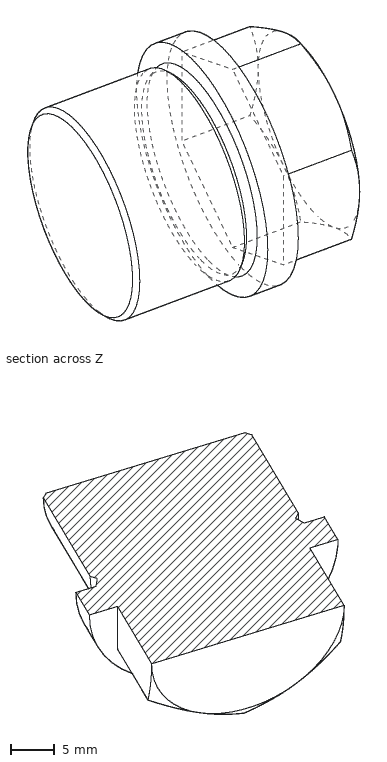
import cadquery as cq
import math

shank_diameter = 26.0
shank_length = 16.0
flange_diameter = 31.0
flange_thickness = 4.0
hex_sides = 6
hex_across_flats = 24.0
hex_height = 10.0
hex_chamfer_angle = 30.0
shank_chamfer = 0.61
neck_angle = 30.0

shank_radius = shank_diameter / 2
flange_radius = flange_diameter / 2
neck_radius = shank_radius - shank_chamfer
neck_length = shank_chamfer / math.tan(math.radians(neck_angle))
hex_top = flange_thickness + hex_height
hex_flat_radius = hex_across_flats / 2
hex_across_corners = hex_across_flats / math.cos(math.pi / hex_sides)


def revolve_about_y(points):
    """Revolve a closed (radius, y) outline a full turn about the Y axis."""
    return cq.Workplane("XY").polyline(points).close().revolve(360, (0, 0, 0), (0, 1, 0))


def make_shank_and_flange():
    """Round shank with chamfered ends, V-shaped relief groove and flange."""
    return revolve_about_y([
        (0, -shank_length),
        (neck_radius, -shank_length),
        (shank_radius, -shank_length + shank_chamfer),
        (shank_radius, -neck_length - shank_chamfer),
        (neck_radius, -neck_length),
        (shank_radius, 0),
        (flange_radius, 0),
        (flange_radius, flange_thickness),
        (0, flange_thickness),
    ])


def make_hex_head():
    """Hexagonal head with two flats facing X and its outer corners chamfered by a cone."""
    hexagon = (
        cq.Workplane("XZ", origin=(0, hex_top, 0))
        .transformed(rotate=(0, 0, 90))
        .polygon(hex_sides, hex_across_corners)
        .extrude(hex_height)
    )
    cone_drop = (flange_radius - hex_flat_radius) * math.tan(math.radians(hex_chamfer_angle))
    chamfer_envelope = revolve_about_y([
        (0, flange_thickness),
        (flange_radius, flange_thickness),
        (flange_radius, hex_top - cone_drop),
        (hex_flat_radius, hex_top),
        (0, hex_top),
    ])
    return hexagon.intersect(chamfer_envelope)


result = make_shank_and_flange().union(make_hex_head())